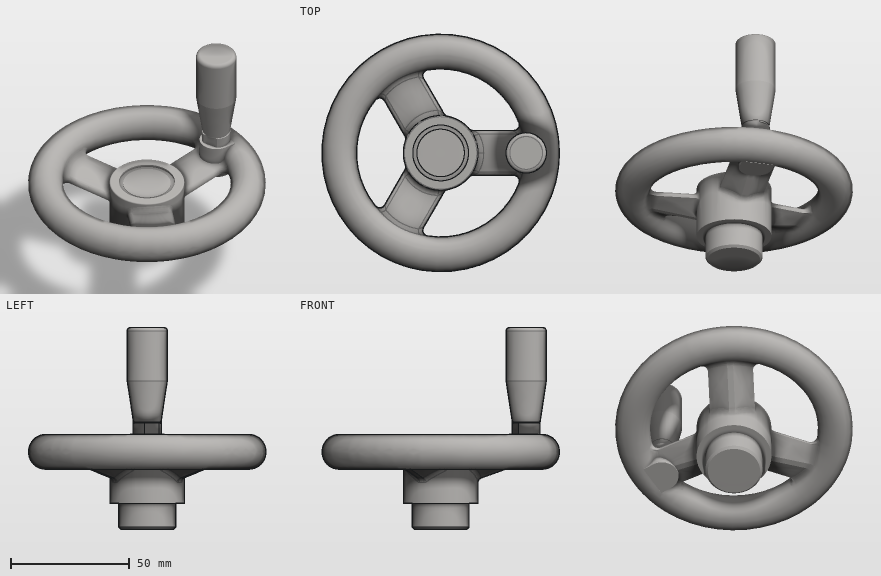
import cadquery as cq
import math

rim_diameter = 100.0
rim_section_diameter = 14.7
rim_bottom_z = 25.3
rim_section_radius = rim_section_diameter / 2
rim_centre_radius = rim_diameter / 2 - rim_section_radius
rim_centre_z = rim_bottom_z + rim_section_radius

hub_diameter = 31.5
hub_bottom_z = 11.0
hub_top_z = 33.7
hub_edge_radius = 0.5
shaft_diameter = 24.0
shaft_chamfer = 1.0
recess_diameter = 23.5
recess_depth = 1.1
cap_diameter = 20.0
cap_height = 0.3

spoke_count = 3
spoke_width = 19.0
keel_width = 2.5
spoke_inner_radius = 12.0
spoke_outer_radius = 41.0
spoke_arch_rise = 1.2
top_slope = 0.2
side_slope = 0.2
keel_slope = 0.36
top_start_z = 29.2
side_start_z = 25.8
keel_start_z = 19.8
spoke_edge_radius = 1.9
hub_blend_radius = 2.0
rim_blend_radius = 2.6

handle_x = 36.0
boss_width = 14.5
boss_length_past_axis = 5.0
boss_draft = 2.0
boss_top_z = 40.1
boss_bottom_z = 25.4

neck_diameter = 12.0
neck_top_z = 44.7
flat_spacing = 10.0
flat_angle = 23.0
gap_diameter = 11.0
grip_bottom_z = 45.3
grip_bottom_diameter = 11.8
taper_top_z = 62.5
grip_diameter = 17.0
handle_top_z = 85.0
grip_edge_radius = 1.6

tolerance = 0.01


def cylinder(diameter, bottom_z, top_z):
    return cq.Workplane("XY").workplane(offset=bottom_z).circle(diameter / 2).extrude(top_z - bottom_z)


def spoke_section(radius):
    """Closed cross-section of the +X spoke, in the plane X = radius."""
    run = radius - spoke_inner_radius
    top_z = top_start_z + top_slope * run
    side_z = side_start_z + side_slope * run
    keel_z = keel_start_z + keel_slope * run
    half = spoke_width / 2
    return (
        cq.Workplane("YZ", origin=(radius, 0, 0))
        .moveTo(-keel_width / 2, keel_z)
        .lineTo(keel_width / 2, keel_z)
        .lineTo(half, side_z)
        .lineTo(half, top_z - spoke_arch_rise)
        .threePointArc((0, top_z), (-half, top_z - spoke_arch_rise))
        .lineTo(-half, side_z)
        .close()
        .wires()
        .val()
    )


def make_spoke():
    sections = [spoke_section(spoke_inner_radius), spoke_section(spoke_outer_radius)]
    spoke = cq.Workplane(obj=cq.Solid.makeLoft(sections, True))
    mid_radius = (spoke_inner_radius + spoke_outer_radius) / 2
    side_top_z = top_start_z - spoke_arch_rise + top_slope * (mid_radius - spoke_inner_radius)
    for side in (-1, 1):
        side_point = (mid_radius, side * spoke_width / 2, side_top_z)
        spoke = spoke.edges(cq.selectors.NearestToPointSelector(side_point)).fillet(spoke_edge_radius)
    return spoke


def make_rim():
    return cq.Workplane("XY").add(
        cq.Solid.makeTorus(rim_centre_radius, rim_section_radius, cq.Vector(0, 0, rim_centre_z))
    )


def make_hub():
    hub = cylinder(hub_diameter, hub_bottom_z, hub_top_z).faces(">Z").edges().fillet(hub_edge_radius)
    shaft = cylinder(shaft_diameter, 0, hub_bottom_z).faces("<Z").chamfer(shaft_chamfer)
    recess = cylinder(recess_diameter, hub_top_z - recess_depth, hub_top_z)
    cap = cylinder(cap_diameter, hub_bottom_z, hub_top_z - recess_depth + cap_height)
    return hub.union(shaft).cut(recess).union(cap)


def on_hub_seam(edge):
    """True for the edges where a spoke meets the side of the hub."""
    middle = edge.positionAt(0.5)
    on_side = abs(math.hypot(middle.x, middle.y) - hub_diameter / 2) < tolerance
    beside_spoke = keel_start_z < middle.z < hub_top_z - hub_edge_radius - tolerance
    return on_side and beside_spoke and edge.geomType() != "LINE"


def on_rim_seam(edge):
    """True for the edges where a spoke meets the ring."""
    middle = edge.positionAt(0.5)
    offset = math.hypot(middle.x, middle.y) - rim_centre_radius
    on_ring = abs(math.hypot(offset, middle.z - rim_centre_z) - rim_section_radius) < tolerance
    return on_ring and edge.geomType() != "CIRCLE"


def make_wheel():
    wheel = make_hub().union(make_rim())
    spoke = make_spoke()
    for index in range(spoke_count):
        wheel = wheel.union(spoke.rotate((0, 0, 0), (0, 0, 1), index * 360 / spoke_count))
    wheel = wheel.edges().filter(on_hub_seam).fillet(hub_blend_radius)
    return wheel.edges().filter(on_rim_seam).fillet(rim_blend_radius)


def boss_half(end_z):
    """Drafted half of the boss, from the ring's mid-plane to end_z."""
    radius = boss_width / 2
    return (
        cq.Workplane("XY", origin=(handle_x, 0, rim_centre_z))
        .moveTo(0, radius)
        .threePointArc((-radius, 0), (0, -radius))
        .lineTo(boss_length_past_axis, -radius)
        .lineTo(boss_length_past_axis, radius)
        .close()
        .extrude(end_z - rim_centre_z, taper=boss_draft)
    )


def make_boss():
    """Handle boss: round towards the hub, straight-sided into the ring."""
    return boss_half(boss_top_z).union(boss_half(boss_bottom_z))


def make_handle():
    """Neck with two flats, gap groove and grip, about the Z axis."""
    between_flats = (
        cq.Workplane("XY", origin=(0, 0, rim_centre_z))
        .transformed(rotate=(0, 0, flat_angle))
        .rect(flat_spacing, neck_diameter)
        .extrude(neck_top_z - rim_centre_z)
    )
    neck = cylinder(neck_diameter, rim_centre_z, neck_top_z).intersect(between_flats)
    gap_core = cylinder(gap_diameter, neck_top_z, grip_bottom_z)
    grip = (
        cq.Workplane("XZ")
        .moveTo(0, grip_bottom_z)
        .lineTo(grip_bottom_diameter / 2, grip_bottom_z)
        .lineTo(grip_diameter / 2, taper_top_z)
        .lineTo(grip_diameter / 2, handle_top_z)
        .lineTo(0, handle_top_z)
        .close()
        .revolve(360)
        .faces(">Z")
        .edges()
        .fillet(grip_edge_radius)
    )
    return neck.union(gap_core).union(grip)


result = make_wheel().union(make_boss()).union(make_handle().translate((handle_x, 0, 0)))